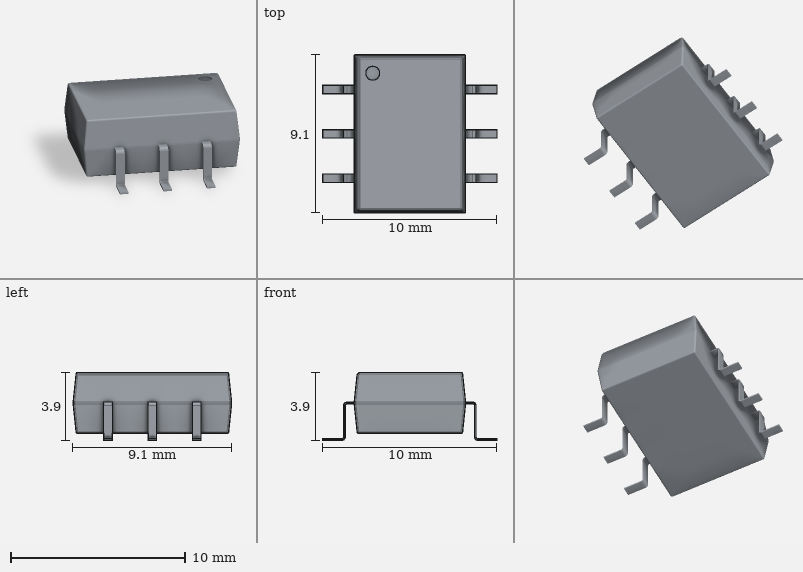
import cadquery as cq
import math

BODY_X = 6.4
BODY_Y = 9.1
BODY_BOTTOM = 0.4
BODY_TOP = 3.9
DRAFT_ANGLE = 6.0
EDGE_RADIUS = 0.1
PIN_1_BEVEL = 0.12

MARK_DIAMETER = 0.8
MARK_DEPTH = 0.1
MARK_X = -2.13
MARK_Y = 3.48

LEAD_SPAN = 10.0
LEAD_WIDTH = 0.5
LEAD_THICKNESS = 0.1
LEAD_PITCH = 2.54
LEADS_PER_SIDE = 3
FOOT_LENGTH = 1.3
BEND_INNER_RADIUS = 0.1

band_height = LEAD_THICKNESS
half_height = (BODY_TOP - BODY_BOTTOM - band_height) / 2
band_bottom = BODY_BOTTOM + half_height
band_top = band_bottom + band_height
draft_inset = half_height * math.tan(math.radians(DRAFT_ANGLE))
bend_outer_radius = BEND_INNER_RADIUS + LEAD_THICKNESS


def make_drafted_half(band_z, end_z):
    """Block that narrows from the parting band to the flat top or bottom face."""
    return (
        cq.Workplane("XY", origin=(0, 0, band_z))
        .rect(BODY_X, BODY_Y)
        .workplane(offset=end_z - band_z)
        .rect(BODY_X - 2 * draft_inset, BODY_Y - 2 * draft_inset)
        .loft(ruled=True)
    )


def make_body():
    """Two drafted halves joined by a straight band, with rounded edges and a pin 1 mark."""
    band = cq.Workplane("XY", origin=(0, 0, band_bottom)).rect(BODY_X, BODY_Y).extrude(band_height)
    body = (
        band
        .union(make_drafted_half(band_top, BODY_TOP))
        .union(make_drafted_half(band_bottom, BODY_BOTTOM))
    )
    body = body.faces(">Z").edges("<X").chamfer(PIN_1_BEVEL)

    box_margin = band_height / 4
    band_edges = cq.selectors.BoxSelector(
        (-BODY_X, -BODY_Y, band_bottom - box_margin),
        (BODY_X, BODY_Y, band_top + box_margin),
    )
    edges_off_band = cq.selectors.InverseSelector(band_edges)
    upright_edges = cq.selectors.ParallelDirSelector(cq.Vector(0, 0, 1))
    body = body.edges(edges_off_band + upright_edges).fillet(EDGE_RADIUS)

    mark = (
        cq.Workplane("XY", origin=(MARK_X, MARK_Y, BODY_TOP))
        .circle(MARK_DIAMETER / 2)
        .extrude(-MARK_DEPTH)
    )
    return body.cut(mark)


def make_lead(side, y):
    """Z-shaped strip from the body wall down to a flat foot; side is the sign of its X position."""
    tip_x = LEAD_SPAN / 2
    riser_inner = tip_x - FOOT_LENGTH
    riser_outer = riser_inner + LEAD_THICKNESS
    body_wall = BODY_X / 2
    lead = (
        cq.Workplane("XZ", origin=(0, y, 0))
        .moveTo(tip_x, 0)
        .lineTo(riser_inner + bend_outer_radius, 0)
        .radiusArc((riser_inner, bend_outer_radius), bend_outer_radius)
        .lineTo(riser_inner, band_bottom - BEND_INNER_RADIUS)
        .radiusArc((riser_inner - BEND_INNER_RADIUS, band_bottom), -BEND_INNER_RADIUS)
        .lineTo(body_wall, band_bottom)
        .lineTo(body_wall, band_top)
        .lineTo(riser_outer - bend_outer_radius, band_top)
        .radiusArc((riser_outer, band_top - bend_outer_radius), bend_outer_radius)
        .lineTo(riser_outer, LEAD_THICKNESS + BEND_INNER_RADIUS)
        .radiusArc((riser_outer + BEND_INNER_RADIUS, LEAD_THICKNESS), -BEND_INNER_RADIUS)
        .lineTo(tip_x, LEAD_THICKNESS)
        .close()
        .extrude(LEAD_WIDTH / 2, both=True)
    )
    return lead if side > 0 else lead.mirror("YZ")


body = make_body()

leads = []
for side in (-1, 1):
    for index in range(LEADS_PER_SIDE):
        lead_y = (index - (LEADS_PER_SIDE - 1) / 2) * LEAD_PITCH
        leads.append(make_lead(side, lead_y).val())

result = cq.Compound.makeCompound([body.val(), *leads])